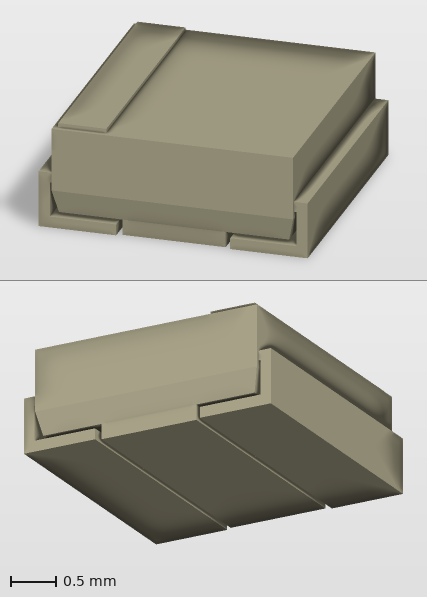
import cadquery as cq

overall_width = 3.1
housing_length = 3.1
terminal_overhang = 0.158
housing_width = overall_width - 2 * terminal_overhang
housing_top = 1.197
shoulder_height = 0.46
base_height = 0.183
taper_inset = 0.065
pad_width = 1.19
pad_length = housing_length - 2 * taper_inset

terminal_length = 3.038
terminal_height = 0.657
terminal_thickness = 0.13
foot_width = 0.893
lip_thickness = 0.118

overall_height = 1.25
marker_width = 0.555
marker_inset = 0.06


def make_housing():
    """Block with its lower edges drawn in, resting on a central pad."""
    block = (
        cq.Workplane("XY")
        .workplane(offset=shoulder_height)
        .rect(housing_width, housing_length)
        .extrude(housing_top - shoulder_height)
    )
    tapered_base = (
        cq.Workplane("XY")
        .workplane(offset=shoulder_height)
        .rect(housing_width, housing_length)
        .workplane(offset=base_height - shoulder_height)
        .rect(housing_width - 2 * taper_inset, housing_length - 2 * taper_inset)
        .loft(ruled=True)
    )
    pad = cq.Workplane("XY").rect(pad_width, pad_length).extrude(base_height)
    return block.union(tapered_base).union(pad)


def make_terminal(side):
    """Foot, upright and a short top lip that meets the housing wall; side is -1 or +1 along X."""
    outer_x = side * overall_width / 2
    inner_x = outer_x - side * terminal_thickness
    foot_end_x = outer_x - side * foot_width
    housing_wall_x = side * housing_width / 2
    lip_bottom = terminal_height - lip_thickness
    return (
        cq.Workplane("XZ")
        .moveTo(outer_x, 0)
        .lineTo(outer_x, terminal_height)
        .lineTo(housing_wall_x, terminal_height)
        .lineTo(housing_wall_x, lip_bottom)
        .lineTo(inner_x, lip_bottom)
        .lineTo(inner_x, terminal_thickness)
        .lineTo(foot_end_x, terminal_thickness)
        .lineTo(foot_end_x, 0)
        .close()
        .extrude(terminal_length / 2, both=True)
    )


def make_marker():
    """Strip beside the -X edge of the housing top."""
    center_x = -housing_width / 2 + marker_inset + marker_width / 2
    return (
        cq.Workplane("XY")
        .workplane(offset=housing_top)
        .center(center_x, 0)
        .rect(marker_width, housing_length - 2 * marker_inset)
        .extrude(overall_height - housing_top)
    )


housing = make_housing()
terminals = [make_terminal(side) for side in (-1, 1)]
marker = make_marker()

result = cq.Compound.makeCompound(
    [housing.val(), *[terminal.val() for terminal in terminals], marker.val()]
)